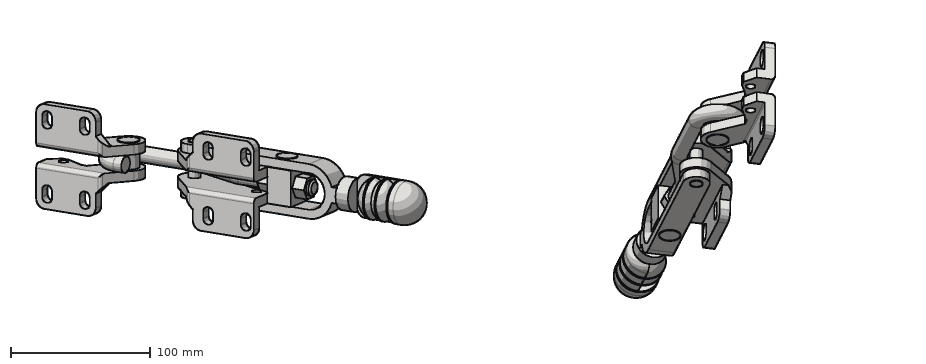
import cadquery as cq
import math


rod_diameter = 12.0
rod_radius = rod_diameter / 2
hook_bend_radius = 15.5
hook_end_x = 68.5
latch_height = 49.0
elbow_radius = 18.5
elbow_x = 113.5
elbow_angle = 19.0

plate_thickness = 7.7
bend_radius = 3.5
cheek_inner_z = rod_radius
cheek_outer_z = 13.5
cheek_end_radius = 12.0
cheek_hole_radius = 3.5
plate_corner_radius = 7.0
arm_foot_radius = 3.7
slot_width = 8.5
slot_length = 13.0
slot_spacing = 32.0
pin_head_height = 0.5

catch_pin_x = 61.5
catch_pin_y = latch_height - rod_radius - hook_bend_radius
catch_pin_radius = 8.0
catch_arm_angle = 50.0
catch_plate_end_x = 50.5
catch_half_width = 39.0
catch_front_height = 14.0
catch_peak_height = 21.5
catch_peak_start_x = 8.7
catch_peak_end_x = 13.5
catch_valley_x = 29.8
catch_inside_bend_radius = 1.0
catch_hole_x = 14.0
catch_hole_y = 15.0
catch_slot_x = 9.3
catch_slot_z = 27.5

block_x = 194.5
block_length = 19.8
block_height = 22.3
trunnion_radius = 7.7
nut_across_flats = 15.8
nut_thickness = 10.0
rod_end_chamfer = 1.5
rod_end_x = 217.5

pivot_x = 116.0
pivot_y = 29.5
pivot_pin_radius = 4.5
base_arm_angle = 45.0
base_plate_start_x = 132.7
base_end_x = block_x - block_length / 2
base_half_width = 36.3
base_top_angle = 17.3
base_hole_x = 174.8
base_hole_y = 19.2
base_slot_x = 145.7
base_slot_z = 24.2

handle_height = 19.5
fork_inner_z = cheek_outer_z
fork_outer_z = 20.5
fork_bend_x = 218.5
neck_half_width = 6.0
collar_start_x = 243.0
collar_end_x = 253.5
collar_radius = 12.5
grip_radius = 16.0
grip_corner_radius = 6.8
grip_end_x = 310.0
ridge_sphere_radius = 17.0
ridge_pitch = 10.0
first_ridge_x = 268.8
grip_groove_width = 1.2
grip_groove_depth = 0.3


def z_cylinder(x, y, radius, half_length):
    """Cylinder along Z, centred on the plane Z = 0."""
    return cq.Workplane("XY").center(x, y).circle(radius).extrude(half_length, both=True)


def tangent_point(center_x, center_y, angle):
    """Point on a cheek's round end in the direction `angle`, in degrees from +X."""
    a = math.radians(angle)
    return (center_x + cheek_end_radius * math.cos(a), center_y + cheek_end_radius * math.sin(a))


def foot_x(tangent, angle):
    """X where a line through `tangent`, rising at `angle` degrees, crosses Y = 0."""
    return tangent[0] - tangent[1] / math.tan(math.radians(angle))


def point_at_height(tangent, angle, height):
    """Point at `height` on the line through `tangent` rising at `angle` degrees."""
    return (tangent[0] - (tangent[1] - height) / math.tan(math.radians(angle)), height)


def both_sides(half):
    return half.union(half.mirror("XY"))


def flat_plate(near_x, far_x, half_width):
    """Plate on the mounting face, from its rounded outer corners in to the cheek.

    Its end at `near_x`, where the arm starts, flares by one plate thickness into the cheek.
    """
    arm_side = math.copysign(plate_thickness, near_x - far_x)
    outline = [
        (far_x, cheek_inner_z),
        (near_x + arm_side, cheek_inner_z),
        (near_x + arm_side, cheek_outer_z),
        (near_x, cheek_outer_z + plate_thickness),
        (near_x, half_width),
        (far_x, half_width),
    ]
    plate = cq.Workplane("XZ").polyline(outline).close().extrude(-plate_thickness)
    return plate.edges("|Y and >Z").fillet(plate_corner_radius)


def slots(first_x, z):
    """Two slots through a plate, long in Z."""
    return (
        cq.Workplane("XZ")
        .pushPoints([(first_x, z), (first_x + slot_spacing, z)])
        .slot2D(slot_length, slot_width, 90)
        .extrude(-plate_thickness)
    )


def angle_section(plate, side):
    """Join the plate to an upright cheek slab as large as `side`, and round the outside of the bend."""
    bounds = side.val().BoundingBox()
    length = bounds.xlen
    slab = cq.Workplane("XY").box(length, bounds.ymax, cheek_outer_z - cheek_inner_z, centered=False)
    section = plate.union(slab.translate((bounds.xmin, 0, cheek_inner_z)))

    corner = cq.Workplane("XY").box(length, bend_radius, bend_radius, centered=False)
    corner = corner.translate((0, 0, cheek_inner_z))
    bend = (
        cq.Workplane("YZ")
        .center(bend_radius, cheek_inner_z + bend_radius)
        .circle(bend_radius)
        .extrude(length)
    )
    return section.cut(corner.cut(bend).translate((bounds.xmin, 0, 0)))


def side_block(profile, half_width, arm_foot_x):
    """Side profile carried across a bracket half, with the foot of its arm rounded."""
    block = profile.extrude(half_width)
    foot = cq.NearestToPointSelector((arm_foot_x, 0, half_width / 2))
    return block.edges(foot).fillet(arm_foot_radius)


def make_catch():
    lower = tangent_point(catch_pin_x, catch_pin_y, catch_arm_angle - 90)
    upper = tangent_point(catch_pin_x, catch_pin_y, catch_arm_angle + 90)
    arm_foot_x = foot_x(lower, catch_arm_angle)
    profile = (
        cq.Workplane("XY")
        .moveTo(0, 0)
        .lineTo(arm_foot_x, 0)
        .lineTo(*lower)
        .threePointArc(tangent_point(catch_pin_x, catch_pin_y, catch_arm_angle), upper)
        .lineTo(*point_at_height(upper, catch_arm_angle, catch_front_height))
        .lineTo(catch_valley_x, catch_front_height)
        .lineTo(catch_peak_end_x, catch_peak_height)
        .lineTo(catch_peak_start_x, catch_peak_height)
        .lineTo(0, catch_front_height)
        .close()
    )
    side = side_block(profile, catch_half_width, arm_foot_x)
    section = angle_section(flat_plate(catch_plate_end_x, 0, catch_half_width), side)
    inside_bend = cq.NearestToPointSelector((catch_plate_end_x / 2, plate_thickness, cheek_outer_z))
    section = section.edges(inside_bend).fillet(catch_inside_bend_radius)

    half = section.intersect(side)
    half = half.cut(z_cylinder(catch_hole_x, catch_hole_y, cheek_hole_radius, cheek_outer_z))
    half = half.cut(slots(catch_slot_x, catch_slot_z))
    pin = z_cylinder(catch_pin_x, catch_pin_y, catch_pin_radius, cheek_outer_z + pin_head_height)
    return both_sides(half).union(pin)


def make_base():
    lower = tangent_point(pivot_x, pivot_y, -90 - base_arm_angle)
    upper = tangent_point(pivot_x, pivot_y, 90 - base_top_angle)
    arm_foot_x = foot_x(lower, -base_arm_angle)
    rear_height = upper[1] - (base_end_x - upper[0]) * math.tan(math.radians(base_top_angle))
    profile = (
        cq.Workplane("XY")
        .moveTo(base_end_x, 0)
        .lineTo(arm_foot_x, 0)
        .lineTo(*lower)
        .threePointArc((pivot_x - cheek_end_radius, pivot_y), upper)
        .lineTo(base_end_x, rear_height)
        .close()
    )
    side = side_block(profile, base_half_width, arm_foot_x)
    section = angle_section(flat_plate(base_plate_start_x, base_end_x, base_half_width), side)

    half = section.intersect(side)
    half = half.cut(z_cylinder(base_hole_x, base_hole_y, cheek_hole_radius, cheek_outer_z))
    half = half.cut(slots(base_slot_x, base_slot_z))
    pin = z_cylinder(pivot_x, pivot_y, pivot_pin_radius, fork_outer_z + pin_head_height)
    return both_sides(half).union(pin)


def revolve_about_x(profile):
    return profile.revolve(360, (0, 0, 0), (1, 0, 0))


def smooth_grip():
    corner = grip_corner_radius
    corner_mid = corner * (1 - math.sqrt(0.5))
    tip_mid = grip_radius * math.sqrt(0.5)
    tip_center_x = grip_end_x - grip_radius
    return revolve_about_x(
        cq.Workplane("XY")
        .moveTo(collar_end_x, 0)
        .lineTo(collar_end_x, grip_radius - corner)
        .threePointArc(
            (collar_end_x + corner_mid, grip_radius - corner_mid),
            (collar_end_x + corner, grip_radius),
        )
        .lineTo(tip_center_x, grip_radius)
        .threePointArc((tip_center_x + tip_mid, tip_mid), (grip_end_x, 0))
        .close()
    )


def finger_ridge(tip_x):
    """Lens whose two spherical faces meet in a sharp edge at `tip_x`."""
    center_offset = math.sqrt(ridge_sphere_radius**2 - grip_radius**2)
    half_width = ridge_sphere_radius - center_offset
    arc_x = half_width / 2
    arc_y = math.sqrt(ridge_sphere_radius**2 - (center_offset + arc_x) ** 2)
    return revolve_about_x(
        cq.Workplane("XY")
        .moveTo(tip_x - half_width, 0)
        .threePointArc((tip_x - arc_x, arc_y), (tip_x, grip_radius))
        .threePointArc((tip_x + arc_x, arc_y), (tip_x + half_width, 0))
        .close()
    )


def make_grip():
    """Grip along X: smooth on the +Y half, with finger ridges on the -Y half."""
    size = 2 * grip_radius
    box_length = grip_end_x - collar_end_x
    groove_centers = [first_ridge_x + i * ridge_pitch for i in range(3)]
    end_start_x = groove_centers[-1] - grip_groove_width / 2
    box = cq.Workplane("XY").box(box_length, size, size, centered=(False, False, True))
    upper_half = box.translate((collar_end_x, 0, 0))
    lower_half = box.translate((collar_end_x, -size, 0))
    lower_end = box.translate((end_start_x, -size, 0))

    ridges = finger_ridge(groove_centers[0]).union(finger_ridge(groove_centers[1]))
    grip = smooth_grip().intersect(upper_half.union(lower_end))
    grip = grip.union(ridges.intersect(lower_half))
    for center_x in groove_centers:
        groove = (
            cq.Workplane("YZ", origin=(center_x - grip_groove_width / 2, 0, 0))
            .circle(grip_radius + grip_groove_depth)
            .circle(grip_radius - grip_groove_depth)
            .extrude(grip_groove_width)
        )
        grip = grip.cut(groove)
    return grip


def u_bar(half_width, start_x):
    """Bar along X from `start_x`, with its far end rounded about the fork's bend."""
    return (
        cq.Workplane("XZ")
        .moveTo(start_x, -half_width)
        .lineTo(fork_bend_x, -half_width)
        .threePointArc((fork_bend_x + half_width, 0), (fork_bend_x, half_width))
        .lineTo(start_x, half_width)
        .close()
        .extrude(handle_height / 2, both=True)
    )


def make_handle():
    """Fork with grip, modelled about the X axis and then raised to the pivot's height."""
    eye_radius = handle_height / 2
    fork = u_bar(fork_outer_z, pivot_x).union(z_cylinder(pivot_x, 0, eye_radius, fork_outer_z))
    fork = fork.cut(u_bar(fork_inner_z, pivot_x - eye_radius))
    fork = fork.cut(z_cylinder(pivot_x, 0, pivot_pin_radius, fork_outer_z))
    fork = fork.cut(z_cylinder(block_x, 0, trunnion_radius, fork_outer_z))

    neck_start_x = fork_bend_x + (fork_inner_z + fork_outer_z) / 2
    neck = cq.Workplane("XY").box(
        collar_start_x - neck_start_x, handle_height, 2 * neck_half_width, centered=(False, True, True)
    )
    collar = cq.Workplane("YZ").circle(collar_radius).extrude(collar_end_x - collar_start_x)

    handle = fork.union(neck.translate((neck_start_x, 0, 0)))
    handle = handle.union(collar.translate((collar_start_x, 0, 0))).union(make_grip())
    return handle.translate((0, pivot_y, 0))


def make_nut(start_x):
    corner_diameter = nut_across_flats / math.cos(math.radians(30))
    nut = cq.Workplane("YZ", origin=(start_x, pivot_y, 0)).polygon(6, corner_diameter)
    return nut.extrude(nut_thickness)


def make_hook():
    """J-shaped rod hooked under the catch pin, with its trunnion block and a nut on each side of it."""
    top_y = latch_height - rod_radius
    angle = math.radians(elbow_angle)
    tangent_length = elbow_radius * math.tan(angle / 2)
    drop = top_y - pivot_y
    second_elbow_x = elbow_x + drop / math.tan(angle)
    slope_x = tangent_length * math.cos(angle)
    slope_y = tangent_length * math.sin(angle)
    hook_end_y = catch_pin_y - hook_bend_radius

    path = (
        cq.Workplane("XY")
        .moveTo(hook_end_x, hook_end_y)
        .lineTo(catch_pin_x, hook_end_y)
        .threePointArc((catch_pin_x - hook_bend_radius, catch_pin_y), (catch_pin_x, top_y))
        .lineTo(elbow_x - tangent_length, top_y)
        .tangentArcPoint((elbow_x + slope_x, top_y - slope_y), relative=False)
        .lineTo(second_elbow_x - slope_x, pivot_y + slope_y)
        .tangentArcPoint((second_elbow_x + tangent_length, pivot_y), relative=False)
        .lineTo(rod_end_x, pivot_y)
    )
    rod = cq.Workplane("YZ", origin=(hook_end_x, hook_end_y, 0)).circle(rod_radius).sweep(path)

    block = cq.Workplane("XY").box(block_length, block_height, 2 * fork_inner_z)
    block = block.translate((block_x, pivot_y, 0))
    trunnions = z_cylinder(block_x, pivot_y, trunnion_radius, fork_outer_z + pin_head_height)

    hook = rod.faces(">X").chamfer(rod_end_chamfer).union(block).union(trunnions)
    for nut_start_x in (block_x - block_length / 2 - nut_thickness, block_x + block_length / 2):
        hook = hook.union(make_nut(nut_start_x))
    return hook


catch_bracket = make_catch()
base_bracket = make_base()
handle = make_handle()
hook = make_hook()

result = cq.Compound.makeCompound(
    [catch_bracket.val(), base_bracket.val(), handle.val(), hook.val()]
)